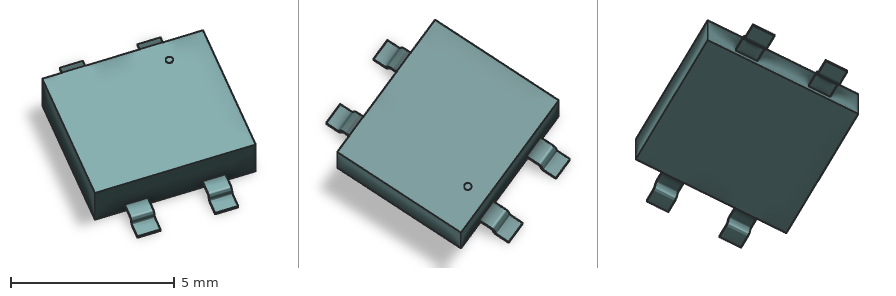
import cadquery as cq
import math

overall_length = 6.81
housing_length = 4.62
housing_width = 5.26
housing_height = 1.4

lead_thickness = 0.09
lead_width = 0.755
lead_row_pitch = 2.54
shoulder_top = 0.32
foot_length = 0.43
bend_inner_radius = 0.07
bend_angle = math.radians(75)

marker_diameter = 0.23
marker_depth = 0.035
marker_x = -1.62
marker_y = lead_row_pitch / 2

bend_outer_radius = bend_inner_radius + lead_thickness
shoulder_bottom = shoulder_top - lead_thickness
tip_x = overall_length / 2
side_x = housing_length / 2
foot_start_x = tip_x - foot_length
bend_radius_sum = bend_inner_radius + bend_outer_radius
leg_drop = shoulder_bottom - bend_radius_sum * (1 - math.cos(bend_angle))
leg_run = leg_drop / math.tan(bend_angle)
shoulder_end_x = foot_start_x - bend_radius_sum * math.sin(bend_angle) - leg_run

upper_centre = (shoulder_end_x, shoulder_bottom - bend_inner_radius)
lower_centre = (foot_start_x, lead_thickness + bend_inner_radius)


def upper_bend_point(radius, angle):
    """XZ point on the upper bend, turned by angle from the shoulder."""
    x, z = upper_centre
    return (x + radius * math.sin(angle), z + radius * math.cos(angle))


def lower_bend_point(radius, angle):
    """XZ point on the lower bend, turned back by angle from the foot."""
    x, z = lower_centre
    return (x - radius * math.sin(angle), z - radius * math.cos(angle))


def make_lead(row_y):
    """One lead on the +X side, centred on row_y."""
    half_angle = bend_angle / 2
    inner = bend_inner_radius
    outer = bend_outer_radius
    return (
        cq.Workplane("XZ", origin=(0, row_y, 0))
        .moveTo(side_x, shoulder_top)
        .lineTo(shoulder_end_x, shoulder_top)
        .threePointArc(upper_bend_point(outer, half_angle), upper_bend_point(outer, bend_angle))
        .lineTo(*lower_bend_point(inner, bend_angle))
        .threePointArc(lower_bend_point(inner, half_angle), (foot_start_x, lead_thickness))
        .lineTo(tip_x, lead_thickness)
        .lineTo(tip_x, 0)
        .lineTo(foot_start_x, 0)
        .threePointArc(lower_bend_point(outer, half_angle), lower_bend_point(outer, bend_angle))
        .lineTo(*upper_bend_point(inner, bend_angle))
        .threePointArc(upper_bend_point(inner, half_angle), (shoulder_end_x, shoulder_bottom))
        .lineTo(side_x, shoulder_bottom)
        .close()
        .extrude(lead_width / 2, both=True)
    )


def make_marker():
    """Round marker whose upper face is level with the housing top."""
    return (
        cq.Workplane("XY", origin=(marker_x, marker_y, housing_height - marker_depth))
        .circle(marker_diameter / 2)
        .extrude(marker_depth)
    )


def make_housing(marker):
    """Plain block with a recess that the marker fills."""
    block = cq.Workplane("XY").box(
        housing_length, housing_width, housing_height, centered=(True, True, False)
    )
    return block.cut(marker)


marker = make_marker()
housing = make_housing(marker)

leads = []
for row_y in (-lead_row_pitch / 2, lead_row_pitch / 2):
    right_lead = make_lead(row_y)
    left_lead = right_lead.mirror("YZ")
    leads.append(right_lead.val())
    leads.append(left_lead.val())

result = cq.Compound.makeCompound([housing.val(), marker.val(), *leads])